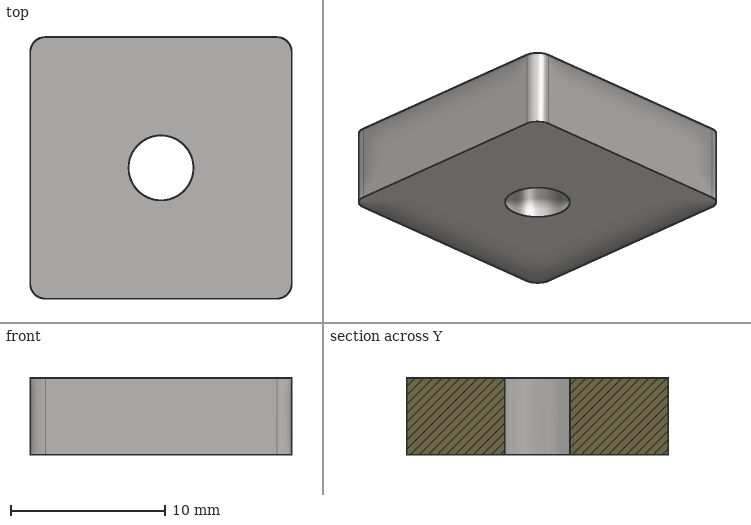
import cadquery as cq

side = 17.0
thickness = 5.0
corner_radius = 1.0
hole_diameter = 4.2

plate = (
    cq.Workplane("XY")
    .rect(side, side)
    .extrude(thickness)
    .edges("|Z")
    .fillet(corner_radius)
)

result = plate.faces(">Z").workplane().hole(hole_diameter)